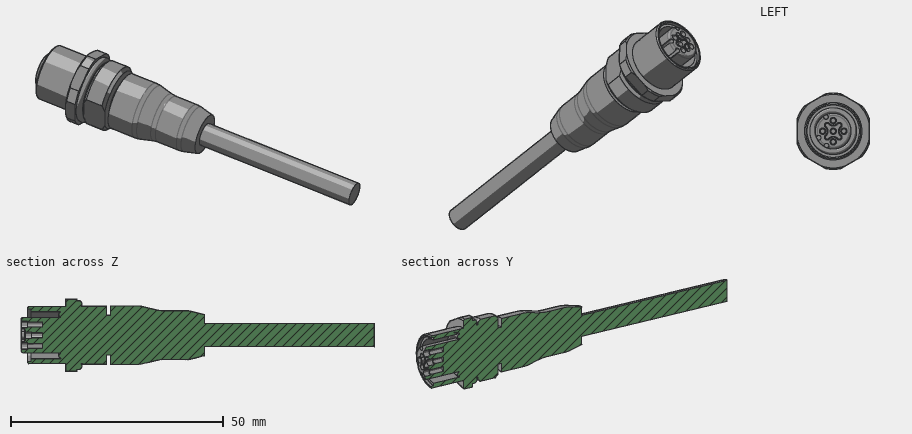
import cadquery as cq
import math


SHELL_START = 1.5
FLANGE_START = 10.5
FLANGE_END = 13.1
NUT_START = 14.45
NUT_END = 20.1
GRIP_START = 21.0
GRIP_CONE_START = 27.95
GRIP_CONE_END = 32.43
GRIP_TAIL_START = 39.2
GRIP_END = 43.1
TOTAL_LENGTH = 83.0

SHELL_DIAMETER = 13.5
SHELL_CHAMFER = 0.3
FLANGE_ACROSS_FLATS = 17.0
FLANGE_CORNER_DIAMETER = 17.96
FLANGE_CHAMFER = 0.35
SEAL_DIAMETER = 16.3
SEAL_TUBE_RADIUS = 0.85
SEAL_CENTER_X = 13.5
NUT_DIAMETER = 16.0
NUT_ACROSS_FLATS = 13.7
NUT_CHAMFER = 0.75
NECK_DIAMETER = 9.4
GRIP_DIAMETER = 13.8
GRIP_WAIST_DIAMETER = 11.6
GRIP_END_DIAMETER = 9.7
GRIP_BLEND_RADIUS = 5.0
CABLE_DIAMETER = 5.5

MOUTH_DIAMETER = 12.3
MOUTH_DEPTH = 0.8
BORE_DIAMETER = 11.0
BORE_DEPTH = 8.0
INSERT_DIAMETER = 8.4
INSERT_EDGE_RADIUS = 0.5
PIN_CIRCLE_RADIUS = 2.5
PIN_ANGLES = (0, 90, 180, 270)
PIN_HOLE_DIAMETER = 1.1
PIN_MOUTH_DIAMETER = 1.5
PIN_MOUTH_DEPTH = 1.5
PIN_HOLE_DEPTH = 5.0
PIN_COLLAR_DIAMETER = 2.2
CROSS_LENGTH = 5.3
CROSS_ARM_WIDTH = 1.3
CROSS_DEPTH = 1.0
CROSS_LEDGE_DEPTH = 0.8
CROSS_LEDGE_WIDTH = 0.2
CROSS_CORE_DIAMETER = 4.0
CROSS_ANGLES = (45, -45)
NOTCH_DIAMETER = 1.1
NOTCH_CIRCLE_RADIUS = 3.75
NOTCH_ANGLES = (63, -24, -65)

BORE_END = SHELL_START + BORE_DEPTH


def cylinder(diameter, start, end, y=0.0, z=0.0):
    """Cylinder parallel to X."""
    plane = cq.Workplane("YZ", origin=(start, 0, 0))
    return plane.center(y, z).circle(diameter / 2).extrude(end - start)


def ring(outer_diameter, tube_radius, center_x):
    """Round-section ring about the X axis."""
    section = cq.Workplane("XY").moveTo(center_x, outer_diameter / 2 - tube_radius).circle(tube_radius)
    return section.revolve(360, (0, 0, 0), (1, 0, 0))


def polar(radius, angle):
    """Y and Z of a point at an angle from +Y toward +Z."""
    return radius * math.cos(math.radians(angle)), radius * math.sin(math.radians(angle))


def make_shell():
    shell = cylinder(SHELL_DIAMETER, SHELL_START, FLANGE_END).faces("<X").chamfer(SHELL_CHAMFER)
    shell = shell.cut(cylinder(MOUTH_DIAMETER, SHELL_START, SHELL_START + MOUTH_DEPTH))
    return shell.cut(cylinder(BORE_DIAMETER, SHELL_START, BORE_END))


def make_flange():
    """Hexagonal ring with corners turned round; flats face +Y and -Y."""
    length = FLANGE_END - FLANGE_START
    hexagon = (
        cq.Workplane("YZ", origin=(FLANGE_START, 0, 0))
        .polygon(6, FLANGE_ACROSS_FLATS, circumscribed=True)
        .extrude(length)
    )
    turned = cylinder(FLANGE_CORNER_DIAMETER, FLANGE_START, FLANGE_END).faces("<X").chamfer(FLANGE_CHAMFER)
    opening = cylinder(SHELL_DIAMETER, FLANGE_START, FLANGE_END)
    return hexagon.intersect(turned).cut(opening)


def make_nut():
    """Round nut, chamfered at both ends, with two wrench flats facing +Y and -Y."""
    nut = cylinder(NUT_DIAMETER, NUT_START, NUT_END).edges().chamfer(NUT_CHAMFER)
    slab = (
        cq.Workplane("YZ", origin=(NUT_START, 0, 0))
        .rect(NUT_ACROSS_FLATS, NUT_DIAMETER)
        .extrude(NUT_END - NUT_START)
    )
    return nut.intersect(slab)


def make_grip():
    profile = [
        (GRIP_START, 0),
        (GRIP_START, GRIP_DIAMETER / 2),
        (GRIP_CONE_START, GRIP_DIAMETER / 2),
        (GRIP_CONE_END, GRIP_WAIST_DIAMETER / 2),
        (GRIP_TAIL_START, GRIP_WAIST_DIAMETER / 2),
        (GRIP_END, GRIP_END_DIAMETER / 2),
        (GRIP_END, 0),
    ]
    grip = cq.Workplane("XY").polyline(profile).close().revolve(360, (0, 0, 0), (1, 0, 0))
    bends = grip.edges("%CIRCLE").edges("not(<X or >X)")
    return bends.fillet(GRIP_BLEND_RADIUS)


def cross_pocket(depth, inset):
    """Diagonal cross between the collars of the four outer pin holes, shrunk by an inset on every wall."""
    arm_length = CROSS_LENGTH - 2 * inset
    arm_width = CROSS_ARM_WIDTH - 2 * inset
    pocket = cylinder(CROSS_CORE_DIAMETER - 2 * inset, 0, depth)
    for angle in CROSS_ANGLES:
        pocket = pocket.union(cq.Workplane("YZ").slot2D(arm_length, arm_width, angle).extrude(depth))
    collar_diameter = PIN_COLLAR_DIAMETER + 2 * inset
    for angle in PIN_ANGLES:
        pocket = pocket.cut(cylinder(collar_diameter, 0, depth, *polar(PIN_CIRCLE_RADIUS, angle)))
    return pocket


def pin_hole(mouth_x, y, z):
    """Counterbored contact hole."""
    hole = cylinder(PIN_HOLE_DIAMETER, mouth_x, PIN_HOLE_DEPTH, y, z)
    return hole.union(cylinder(PIN_MOUTH_DIAMETER, mouth_x, mouth_x + PIN_MOUTH_DEPTH, y, z))


def make_insert():
    insert = cylinder(INSERT_DIAMETER, 0, FLANGE_END).faces("<X").edges().fillet(INSERT_EDGE_RADIUS)
    insert = insert.cut(cross_pocket(CROSS_LEDGE_DEPTH, 0))
    insert = insert.cut(cross_pocket(CROSS_DEPTH, CROSS_LEDGE_WIDTH))
    insert = insert.cut(pin_hole(CROSS_DEPTH, 0, 0))
    for angle in PIN_ANGLES:
        insert = insert.cut(pin_hole(0, *polar(PIN_CIRCLE_RADIUS, angle)))
    for angle in NOTCH_ANGLES:
        insert = insert.cut(cylinder(NOTCH_DIAMETER, 0, BORE_END, *polar(NOTCH_CIRCLE_RADIUS, angle)))
    return insert


def make_bore_seal():
    """Sealing ring that fills the gap around the insert at the floor of the bore."""
    gap = (BORE_DIAMETER - INSERT_DIAMETER) / 2
    return ring(BORE_DIAMETER, gap / 2, BORE_END)


result = (
    make_shell()
    .union(make_insert())
    .union(make_bore_seal())
    .union(make_flange())
    .union(ring(SEAL_DIAMETER, SEAL_TUBE_RADIUS, SEAL_CENTER_X))
    .union(cylinder(SHELL_DIAMETER, FLANGE_END, NUT_START))
    .union(make_nut())
    .union(cylinder(NECK_DIAMETER, NUT_END, GRIP_START))
    .union(make_grip())
    .union(cylinder(CABLE_DIAMETER, GRIP_END, TOTAL_LENGTH))
)